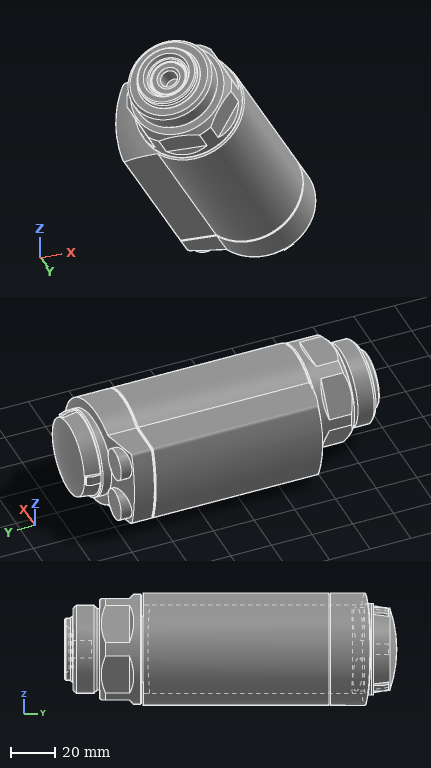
import cadquery as cq
import math


barrel_radius = 25.48
overall_width = 62.0
slab_left = barrel_radius - overall_width
slab_half_height = 20.0
slab_face_radius = 60.0
slab_corner_radius = 2.0

housing_length = 84.0
slab_end_round_radius = 30.0
spigot_radius = 15.0
spigot_length = 0.8

seam_width = 0.8
seam_depth = 0.6
cover_start = housing_length + seam_width

slope_on_axis = 101.0
slope_angle = 5.0
flat_radius = 22.5
cone_angle = 12.0
collar_radius = 20.7
collar_top = 103.4
boss_radius = 7.5
boss_x = -26.8
boss_spacing = 22.8
boss_top = 100.3

rim_top = 104.3
cap_base_radius = 19.7
cap_top_radius = 18.6
cap_side_top = 111.7
dome_top = 114.8
tab_count = 3
tab_width = 4.8
tab_radius = 20.5
tab_shoulder = 108.5
tab_top = 111.0
tab_top_radius = 19.7

nut_radius = 25.0
nut_across_flats = 46.0
flat_count = 6
nut_back = -spigot_length
nut_back_chamfer = 0.5
nut_front = -19.7
nut_front_chamfer = 2.7
flat_end = -6.2
neck_radius = 18.5
thread_radius = 20.0
thread_chamfer = thread_radius - neck_radius
thread_back = -20.7
thread_front = -31.7
shoulder_radius = 15.0
shoulder_front = -32.0
nose_radius = 14.1
nose_chamfer = 0.6
nose_front = -35.5

mouth_radius = 11.0
mouth_depth = 2.0
throat_radius = 9.8
ledge_radius = 9.0
seat_radius = 8.0
seat_depth = 3.2
seat_groove_width = 0.6
seat_groove_depth = 0.9
bore_radius = 5.4
pilot_radius = 4.0
pilot_taper_depth = 0.8
bore_depth = 9.0


def along_y(start):
    """Workplane square to Y whose local axes are X and -Z and whose normal is +Y."""
    return cq.Workplane(cq.Plane(origin=(0, start, 0), xDir=(1, 0, 0), normal=(0, 1, 0)))


def disc(radius, start, end):
    return along_y(start).circle(radius).extrude(end - start)


def turned(points):
    """Solid turned about the Y axis from (radius, y) points."""
    return cq.Workplane("XY").polyline(points).close().revolve(360, (0, 0, 0), (0, 1, 0))


def outline_prism(start, end, inset=0.0):
    """Barrel plus slab between two Y positions, with its sides moved inward by the inset."""
    half_height = slab_half_height - inset
    face_radius = slab_face_radius - inset
    face_x = slab_left + inset
    corner_x = face_x + face_radius - math.sqrt(face_radius**2 - half_height**2)
    slab = (
        along_y(start)
        .moveTo(0, half_height)
        .lineTo(corner_x, half_height)
        .threePointArc((face_x, 0), (corner_x, -half_height))
        .lineTo(0, -half_height)
        .close()
        .extrude(end - start)
        .edges("|Y")
        .edges("<X")
        .fillet(slab_corner_radius)
    )
    return slab.union(disc(barrel_radius - inset, start, end))


def end_round():
    """Ring to cut from a front end at Y = 0, so the slab curves back with distance from the barrel."""
    reach = 2 * barrel_radius
    arc_angle = math.asin((reach - barrel_radius) / slab_end_round_radius)

    def arc_point(angle):
        return (
            barrel_radius + slab_end_round_radius * math.sin(angle),
            slab_end_round_radius * (1 - math.cos(angle)),
        )

    return (
        cq.Workplane("XY")
        .moveTo(barrel_radius, 0)
        .threePointArc(arc_point(arc_angle / 2), arc_point(arc_angle))
        .lineTo(reach, 0)
        .close()
        .revolve(360, (0, 0, 0), (0, 1, 0))
    )


def make_housing():
    body = outline_prism(0, housing_length).cut(end_round())

    seam = outline_prism(housing_length, cover_start, seam_depth)
    return body.union(seam).union(disc(spigot_radius, -spigot_length, 0))


def make_cover():
    cover = outline_prism(cover_start, collar_top)

    reach = 2 * barrel_radius
    cone_drop = (reach - flat_radius) * math.tan(math.radians(cone_angle))
    rear_cut = turned([
        (0, 0),
        (flat_radius, 0),
        (reach, -cone_drop),
        (reach, reach),
        (0, reach),
    ])
    rear_cut = rear_cut.rotate((0, 0, 0), (0, 0, 1), slope_angle).translate((0, slope_on_axis, 0))
    cover = cover.cut(rear_cut)
    cover = cover.union(disc(collar_radius, cover_start, collar_top))

    for side in (-1, 1):
        boss = (
            along_y(cover_start)
            .center(boss_x, side * boss_spacing / 2)
            .circle(boss_radius)
            .extrude(boss_top - cover_start)
        )
        cover = cover.union(boss)
    return cover


def make_cap():
    cap = (
        cq.Workplane("XY")
        .moveTo(0, collar_top)
        .lineTo(collar_radius, collar_top)
        .lineTo(collar_radius, rim_top)
        .lineTo(cap_base_radius, rim_top)
        .lineTo(cap_top_radius, cap_side_top)
        .threePointArc(dome_point(cap_top_radius / 2), (0, dome_top))
        .close()
        .revolve(360, (0, 0, 0), (0, 1, 0))
    )
    for index in range(tab_count):
        cap = cap.union(make_tab().rotate((0, 0, 0), (0, 1, 0), 180 + index * 360 / tab_count))
    return cap


def dome_point(radius):
    """Point of the spherical dome at a distance from the axis."""
    rise = dome_top - cap_side_top
    sphere_radius = (cap_top_radius**2 + rise**2) / (2 * rise)
    return radius, dome_top - sphere_radius + math.sqrt(sphere_radius**2 - radius**2)


def make_tab():
    """Upright tab on the cap's +X side, sloped inward above its shoulder."""
    root = cap_top_radius / 2
    return (
        cq.Workplane("XY", origin=(0, 0, -tab_width / 2))
        .polyline([
            (root, collar_top),
            (tab_radius, collar_top),
            (tab_radius, tab_shoulder),
            (tab_top_radius, tab_top),
            (root, tab_top),
        ])
        .close()
        .extrude(tab_width)
    )


def make_connector():
    body = turned([
        (0, nut_back),
        (nut_radius - nut_back_chamfer, nut_back),
        (nut_radius, nut_back - nut_back_chamfer),
        (nut_radius, nut_front + nut_front_chamfer),
        (nut_radius - nut_front_chamfer, nut_front),
        (neck_radius, nut_front),
        (neck_radius, thread_back),
        (thread_radius, thread_back - thread_chamfer),
        (thread_radius, thread_front + thread_chamfer),
        (neck_radius, thread_front),
        (shoulder_radius, thread_front),
        (shoulder_radius, shoulder_front),
        (nose_radius, shoulder_front - (shoulder_radius - nose_radius)),
        (nose_radius, nose_front + nose_chamfer),
        (nose_radius - nose_chamfer, nose_front),
        (0, nose_front),
    ])

    flat = nut_across_flats / 2
    run_out = nut_radius - flat
    flat_cut = (
        cq.Workplane("YZ", origin=(-nut_radius, 0, 0))
        .polyline([
            (nut_front, flat),
            (flat_end, flat),
            (flat_end + run_out, nut_radius),
            (nut_front, nut_radius),
        ])
        .close()
        .extrude(2 * nut_radius)
    )
    for index in range(flat_count):
        body = body.cut(flat_cut.rotate((0, 0, 0), (0, 1, 0), index * 360 / flat_count))

    seat = nose_front + seat_depth
    socket = turned([
        (0, nose_front),
        (mouth_radius, nose_front),
        (throat_radius, nose_front + mouth_depth),
        (ledge_radius, nose_front + mouth_depth),
        (seat_radius + seat_groove_width, seat),
        (seat_radius + seat_groove_width, seat + seat_groove_depth),
        (seat_radius, seat + seat_groove_depth),
        (seat_radius, seat),
        (bore_radius, seat),
        (pilot_radius, seat + pilot_taper_depth),
        (pilot_radius, seat + bore_depth),
        (0, seat + bore_depth),
    ])
    return body.cut(socket)


housing = make_housing()
cover = make_cover()
cap = make_cap()
connector = make_connector()

result = cq.Compound.makeCompound([housing.val(), cover.val(), cap.val(), connector.val()])